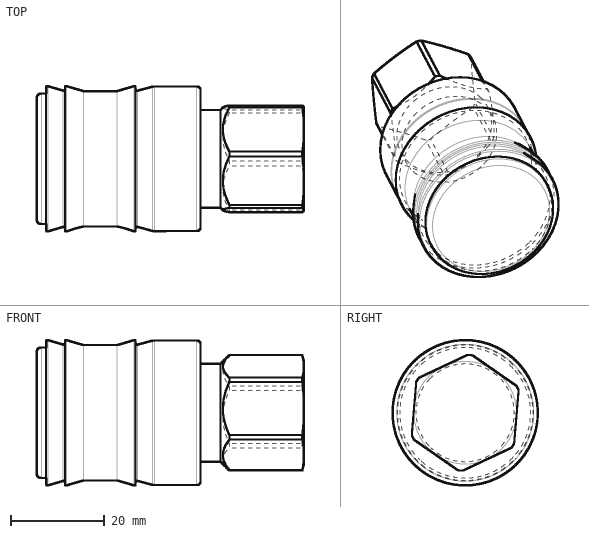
import cadquery as cq
import math

total_length = 57.25

nose_diameter = 28.0
nose_fillet = 1.05

waist_diameter = 29.0
waist_length = 7.15
ridge_diameter = 31.35
ridge_start = 2.05
ridge_pitch = 4.0
ridge_fillet = 0.3
body_diameter = 31.0
body_end = 35.15
body_ramp_length = 3.8
body_ramp_fillet = 1.45
body_end_fillet = 0.85

neck_diameter = 21.0
hex_start = 39.4
hex_across_flats = 22.0
hex_corner_diameter = 24.8
hex_corner_angle = 25.2
end_chamfer_angle = 15.0

match_tolerance = 0.0005

second_ridge = ridge_start + ridge_pitch
waist_start = second_ridge + ridge_pitch
waist_end = waist_start + waist_length
body_start = waist_end + ridge_pitch
body_ramp_end = body_start + body_ramp_length


def revolve_profile(points):
    """Turn a closed (axial position, radius) outline about the X axis."""
    return cq.Workplane("XY").polyline(points).close().revolve(360, (0, 0, 0), (1, 0, 0))


def fillet_circle(solid, position, diameter, radius):
    """Round the circular edge of the given diameter at an axial position."""
    center = cq.Vector(position, 0, 0)
    matching_edges = [
        edge
        for edge in solid.edges("%CIRCLE").vals()
        if (edge.arcCenter() - center).Length < match_tolerance
        and abs(edge.radius() - diameter / 2) < match_tolerance
    ]
    return solid.newObject(matching_edges).fillet(radius)


def make_nose():
    nose = cq.Workplane("YZ").circle(nose_diameter / 2).extrude(second_ridge)
    return nose.faces("<X").edges().fillet(nose_fillet)


def make_sleeve():
    waist_radius = waist_diameter / 2
    ridge_radius = ridge_diameter / 2
    body_radius = body_diameter / 2
    sleeve = revolve_profile(
        [
            (ridge_start, 0),
            (ridge_start, ridge_radius),
            (second_ridge, waist_radius),
            (second_ridge, ridge_radius),
            (waist_start, waist_radius),
            (waist_end, waist_radius),
            (body_start, ridge_radius),
            (body_start, waist_radius),
            (body_ramp_end, body_radius),
            (body_end, body_radius),
            (body_end, 0),
        ]
    )
    for position in (ridge_start, second_ridge, body_start):
        sleeve = fillet_circle(sleeve, position, ridge_diameter, ridge_fillet)
    for position in (second_ridge, body_start):
        sleeve = fillet_circle(sleeve, position, waist_diameter, ridge_fillet)
    sleeve = fillet_circle(sleeve, body_ramp_end, body_diameter, body_ramp_fillet)
    return fillet_circle(sleeve, body_end, body_diameter, body_end_fillet)


def make_neck():
    neck = cq.Workplane("YZ", origin=(ridge_start, 0, 0))
    return neck.circle(neck_diameter / 2).extrude(hex_start - ridge_start)


def make_hex_end():
    hex_sides = 6
    point_to_point = hex_across_flats / math.cos(math.pi / hex_sides)
    prism = (
        cq.Workplane("YZ", origin=(hex_start, 0, 0))
        .transformed(rotate=(0, 0, hex_corner_angle))
        .polygon(hex_sides, point_to_point)
        .extrude(total_length - hex_start)
    )
    neck_radius = neck_diameter / 2
    corner_radius = hex_corner_diameter / 2
    end_radius = hex_across_flats / 2
    cone_end = hex_start + corner_radius - neck_radius
    chamfer_length = (corner_radius - end_radius) * math.tan(math.radians(end_chamfer_angle))
    envelope = revolve_profile(
        [
            (hex_start, 0),
            (hex_start, neck_radius),
            (cone_end, corner_radius),
            (total_length - chamfer_length, corner_radius),
            (total_length, end_radius),
            (total_length, 0),
        ]
    )
    return prism.intersect(envelope)


result = make_nose().union(make_sleeve()).union(make_neck()).union(make_hex_end())